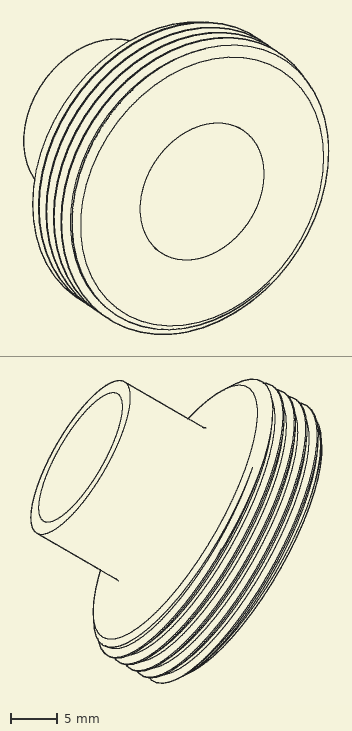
import cadquery as cq
import math

total_length = 21.0
bore_radius = 8.0
tube_radius = 9.5

thread_radius = 17.15
flange_width = 8.5
bevel_width = 1.13
bevel_height = 1.48
shoulder_slope = math.radians(10)
shoulder_fillet = 1.0

ten_turn_advance = 15.0
pitch = ten_turn_advance / 10
thread_depth = 0.82
root_flat = pitch / 4
flank_angle = math.radians(30)
groove_phase = 14.55
cut_overlap = 0.1

flange_start = total_length - flange_width
rim_radius = thread_radius - bevel_height
shoulder_start = flange_start - (rim_radius - tube_radius) * math.tan(shoulder_slope)


def make_blank():
    """Revolve the unthreaded body, including its through bore."""
    setback = shoulder_fillet * math.tan((math.pi / 2 - shoulder_slope) / 2)
    fillet_start = (shoulder_start - setback, tube_radius)
    fillet_end = (
        shoulder_start + setback * math.sin(shoulder_slope),
        tube_radius + setback * math.cos(shoulder_slope),
    )
    profile = (
        cq.Workplane("XY")
        .moveTo(0, bore_radius)
        .lineTo(0, tube_radius)
        .lineTo(*fillet_start)
        .tangentArcPoint(fillet_end, relative=False)
        .lineTo(flange_start, rim_radius)
        .lineTo(flange_start + bevel_width, thread_radius)
        .lineTo(total_length - bevel_width, thread_radius)
        .lineTo(total_length, rim_radius)
        .lineTo(total_length, bore_radius)
        .close()
    )
    return profile.revolve(360, (0, 0, 0), (1, 0, 0))


def make_groove_turn():
    """Sweep the groove section through one turn, starting at X = 0 on the -Z side."""
    root_radius = thread_radius - thread_depth
    outer_radius = thread_radius + cut_overlap
    root_half = root_flat / 2
    outer_half = root_half + (outer_radius - root_radius) * math.tan(flank_angle)
    section = cq.Workplane("XZ").polyline(
        [
            (root_radius, -root_half),
            (outer_radius, -outer_half),
            (outer_radius, outer_half),
            (root_radius, root_half),
        ]
    ).close()
    helix = cq.Workplane(cq.Wire.makeHelix(pitch, pitch, root_radius))
    return section.sweep(helix, isFrenet=True).rotate((0, 0, 0), (0, 1, 0), 90)


def cut_thread(body):
    """Cut the groove turn by turn, running out through both bevels of the flange."""
    first_turn = math.floor((flange_start - groove_phase) / pitch)
    last_turn = math.ceil((total_length - groove_phase) / pitch)
    groove_turn = make_groove_turn()
    for turn in range(first_turn, last_turn + 1):
        body = body.cut(groove_turn.translate((groove_phase + turn * pitch, 0, 0)))
    return body


result = cut_thread(make_blank())